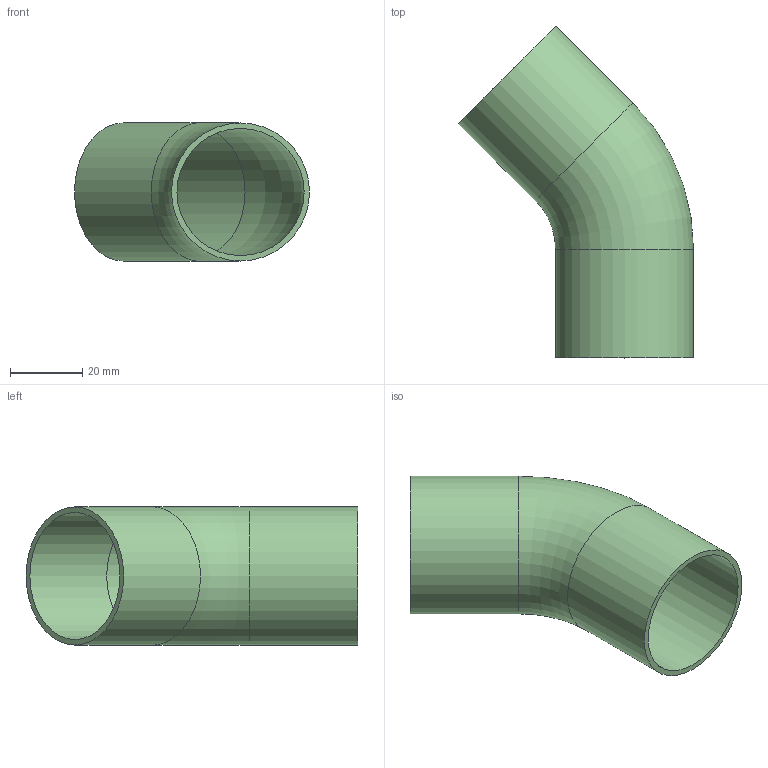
import cadquery as cq
import math

outer_diameter = 38.1
wall_thickness = 1.5
leg_length = 30.0
bend_radius = outer_diameter
bend_angle = 45.0

inner_diameter = outer_diameter - 2 * wall_thickness
bend_angle_rad = math.radians(bend_angle)


def point_on_bend(angle):
    """Centreline point after turning by angle (radians) about the bend centre at X = -bend_radius."""
    return (bend_radius * (math.cos(angle) - 1), bend_radius * math.sin(angle))


def centreline():
    """Straight leg along +Y, bend towards -X, then the second straight leg."""
    bend_end_x, bend_end_y = point_on_bend(bend_angle_rad)
    outlet = (
        bend_end_x - leg_length * math.sin(bend_angle_rad),
        bend_end_y + leg_length * math.cos(bend_angle_rad),
    )
    return (
        cq.Workplane("XY")
        .moveTo(0, -leg_length)
        .lineTo(0, 0)
        .threePointArc(point_on_bend(bend_angle_rad / 2), (bend_end_x, bend_end_y))
        .lineTo(*outlet)
    )


def pipe():
    """Ring section at the open end of the first leg, swept along the centreline."""
    return (
        cq.Workplane("XZ", origin=(0, -leg_length, 0))
        .circle(outer_diameter / 2)
        .circle(inner_diameter / 2)
        .sweep(centreline())
    )


result = pipe()